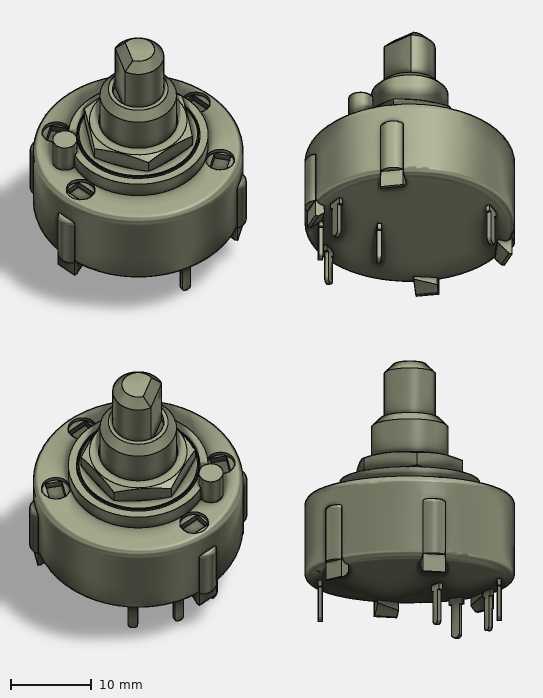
import cadquery as cq
import math


housing_dia = 26.0
housing_radius = housing_dia / 2
housing_height = 10.55
housing_fillet = 1.0

collar_dia = 17.33
collar_height = 2.0
collar_top = housing_height + collar_height
washer_dia = 15.0
recess_dia = 15.3
washer_thickness = 0.8
washer_proud = 0.2
washer_step = 0.1
washer_face_dia = 14.7
washer_top = collar_top + washer_proud
washer_bottom = washer_top - washer_thickness

nut_across_corners = 14.24
nut_height = 2.35
nut_chamfer = 0.42
nut_face_dia = 12.1
nut_bore_dia = 9.8
nut_turn = -6.5

bushing_dia = 9.5
bushing_top = 20.58
bushing_chamfer = 1.05
shaft_dia = 6.35
shaft_top = 27.52
shaft_tip_chamfer = 1.15
shaft_flat_offset = 2.35
shaft_seat_depth = 1.0
shaft_bottom = bushing_top - shaft_seat_depth

post_dia = 3.0
post_radius_from_axis = 9.5
post_top = 14.46

latch_angles = [60, 120, 240, 300]
latch_width = 2.84
latch_inner_radius = 10.0
latch_top = 0.5
latch_bottom = -1.7
latch_tip_thickness = 0.4
latch_slope = math.radians(50)
latch_clip_distance = 11.03
quarter_turn = 90
rib_arc_radius = 3.55 / 2
rib_top = 7.52
rib_fillet = 0.5

hole_dia = 3.55
hole_depth = 0.5
hole_distance = 10.42
window_radial = 2.1
window_depth = 0.85

pin_circle_radius = 11.1
outer_pin_angles = [15, 195, 225, 255]
common_pin_angle = 225
common_pin_radius = 3.85
pin_width = 1.2
pin_thickness = 0.5
pin_shoulder_width = 1.86
pin_shoulder_depth = 0.82
pin_length = 5.09
pin_tip_fillet = 0.55
pin_embed = 0.5


def disc(diameter, bottom, top):
    """Upright cylinder on the shaft axis."""
    return cq.Workplane("XY").workplane(offset=bottom).circle(diameter / 2).extrude(top - bottom)


def place_radially(shape, angle):
    """Turn a shape built along +X to the given angle about the shaft axis."""
    return shape.rotate((0, 0, 0), (0, 0, 1), angle)


def make_housing():
    return disc(housing_dia, 0, housing_height).edges().fillet(housing_fillet)


def make_collar():
    """Recessed collar filled by a washer whose raised face stands slightly proud."""
    collar = disc(collar_dia, housing_height - housing_fillet, collar_top)
    recess = disc(recess_dia, washer_bottom, collar_top)
    washer = disc(washer_dia, washer_bottom, washer_top - washer_step)
    washer = washer.union(disc(washer_face_dia, washer_bottom, washer_top))
    return collar.cut(recess).union(washer)


def make_nut():
    nut_bottom = washer_top
    nut_top = nut_bottom + nut_height
    face_radius = nut_face_dia / 2
    corner_radius = nut_across_corners / 2
    hexagon = (
        cq.Workplane("XY")
        .workplane(offset=nut_bottom)
        .polygon(6, nut_across_corners)
        .circle(nut_bore_dia / 2)
        .extrude(nut_height)
        .rotate((0, 0, 0), (0, 0, 1), nut_turn)
    )
    blank = (
        cq.Workplane("XZ")
        .moveTo(0, nut_bottom)
        .lineTo(face_radius, nut_bottom)
        .lineTo(corner_radius, nut_bottom + nut_chamfer)
        .lineTo(corner_radius, nut_top - nut_chamfer)
        .lineTo(face_radius, nut_top)
        .lineTo(0, nut_top)
        .close()
        .revolve(360, (0, 0, 0), (0, 1, 0))
    )
    return hexagon.intersect(blank)


def make_bushing():
    """Bushing with a bevelled rim and a bore that takes the foot of the shaft."""
    bushing = disc(bushing_dia, washer_bottom, bushing_top).faces(">Z").chamfer(bushing_chamfer)
    return bushing.cut(disc(shaft_dia, shaft_bottom, bushing_top))


def make_shaft():
    """Shaft with one flat on its -Y side; the bevelled tip follows the flat."""
    shaft = disc(shaft_dia, shaft_bottom, shaft_top).faces(">Z").chamfer(shaft_tip_chamfer)
    flat_cutter = (
        cq.Workplane("YZ")
        .moveTo(-shaft_flat_offset, shaft_bottom)
        .lineTo(-shaft_flat_offset, shaft_top - shaft_tip_chamfer)
        .lineTo(-shaft_flat_offset + shaft_tip_chamfer, shaft_top)
        .lineTo(-shaft_dia, shaft_top)
        .lineTo(-shaft_dia, shaft_bottom)
        .close()
        .extrude(shaft_dia, both=True)
    )
    return shaft.cut(flat_cutter)


def make_post():
    post = disc(post_dia, housing_height - housing_fillet, post_top)
    return post.translate((0, -post_radius_from_axis, 0))


def make_rib(angle):
    """Upright rib with an arched outer face standing on the housing wall."""
    half_width = latch_width / 2
    arc_centre = housing_radius - math.sqrt(rib_arc_radius**2 - half_width**2)
    rib = (
        cq.Workplane("XY")
        .workplane(offset=latch_top)
        .moveTo(latch_inner_radius, -half_width)
        .lineTo(housing_radius, -half_width)
        .threePointArc((arc_centre + rib_arc_radius, 0), (housing_radius, half_width))
        .lineTo(latch_inner_radius, half_width)
        .close()
        .extrude(rib_top - latch_top)
    )
    rib = rib.faces(">Z").edges(">X").fillet(rib_fillet)
    return place_radially(rib, angle)


def make_latch(angle):
    """Hook below the housing: sloped inner side, trimmed square to the nearest diagonal."""
    tip_inner = housing_radius - latch_tip_thickness
    slope_rise = (tip_inner - latch_inner_radius) / math.tan(latch_slope)
    latch = (
        cq.Workplane("XZ")
        .moveTo(housing_radius, latch_top)
        .lineTo(housing_radius, latch_bottom)
        .lineTo(tip_inner, latch_bottom)
        .lineTo(latch_inner_radius, latch_bottom + slope_rise)
        .lineTo(latch_inner_radius, latch_top)
        .close()
        .extrude(latch_width / 2, both=True)
    )
    diagonal = quarter_turn * (math.floor(angle / quarter_turn) + 0.5)
    outside_clip = (
        cq.Workplane("XY")
        .workplane(offset=latch_bottom)
        .center(latch_clip_distance + housing_radius / 2, 0)
        .rect(housing_radius, housing_dia)
        .extrude(latch_top - latch_bottom)
    )
    return place_radially(latch, angle).intersect(place_radially(outside_clip, diagonal))


def make_latch_hole(angle):
    """Shallow round hole with a deeper rectangular window in its floor."""
    top = cq.Workplane("XY").workplane(offset=housing_height).center(hole_distance, 0)
    round_hole = top.circle(hole_dia / 2).extrude(-hole_depth)
    window = top.rect(window_radial, latch_width).extrude(-hole_depth - window_depth)
    return place_radially(round_hole.union(window), angle)


def make_pin(radius, angle):
    """Flat pin with a wider shoulder at the housing and a rounded tip."""
    stem = (
        cq.Workplane("XY")
        .box(pin_thickness, pin_width, pin_length + pin_embed, centered=(True, True, False))
        .translate((radius, 0, -pin_length))
        .faces("<Z")
        .edges("|X")
        .fillet(pin_tip_fillet)
    )
    shoulder = (
        cq.Workplane("XY")
        .box(
            pin_thickness,
            pin_shoulder_width,
            pin_shoulder_depth + pin_embed,
            centered=(True, True, False),
        )
        .translate((radius, 0, -pin_shoulder_depth))
    )
    return place_radially(stem.union(shoulder), angle)


result = make_housing().union(make_collar())
for latch_angle in latch_angles:
    result = result.union(make_rib(latch_angle)).union(make_latch(latch_angle))
for latch_angle in latch_angles:
    result = result.cut(make_latch_hole(latch_angle))

result = result.union(make_bushing()).union(make_nut()).union(make_shaft()).union(make_post())

for pin_angle in outer_pin_angles:
    result = result.union(make_pin(pin_circle_radius, pin_angle))
result = result.union(make_pin(common_pin_radius, common_pin_angle))